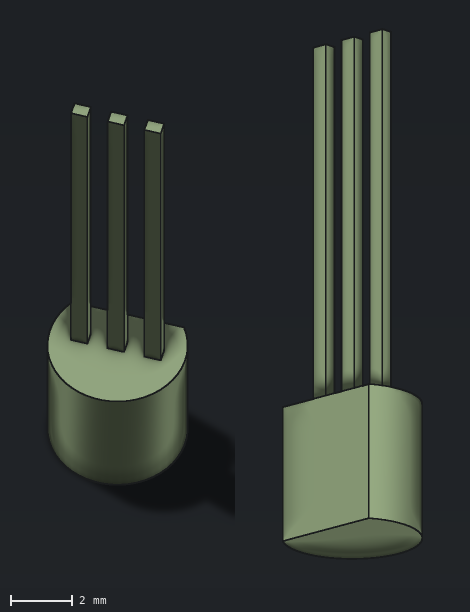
import cadquery as cq

total_height = 17.1
body_diameter = 4.6
body_depth = 3.59

lead_length = 12.5
lead_width = 0.56
lead_thickness = 0.43
lead_pitch = 1.25
lead_count = 3

body_height = total_height - lead_length
body_radius = body_diameter / 2
flat_y = body_depth - body_radius


def make_body():
    """Upright cylinder cut by a flat face on the +Y side."""
    cylinder = cq.Workplane("XY").circle(body_radius).extrude(body_height)
    kept_block = cq.Workplane("XY").box(
        body_diameter, body_depth, body_height, centered=(True, False, False)
    ).translate((0, flat_y - body_depth, 0))
    return cylinder.intersect(kept_block)


def add_leads(body):
    """Row of rectangular leads along X, standing on the top face at the cylinder axis."""
    return (
        body.union(
            cq.Workplane("XY", origin=(0, 0, body_height))
            .rarray(lead_pitch, 0.17, lead_count, 1)
            .rect(lead_width, lead_thickness)
            .extrude(lead_length)
        )
    )


result = add_leads(make_body())